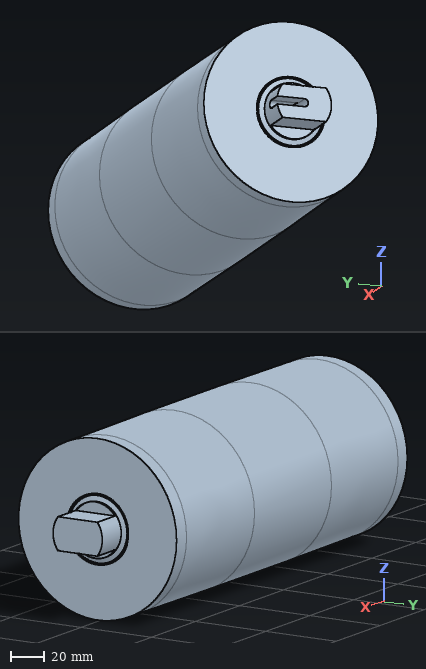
import cadquery as cq

total_length = 307.0
drum_length = 262.0
middle_length = drum_length / 3
cap_width = 11.0
cap_diameter = 112.5
tube_end_diameter = cap_diameter
crown_diameter = 113.5

collar_diameter = 42.0
collar_height = 1.0
gap_diameter = 44.0
gap_depth = 1.0

shaft_diameter = 35.0
flat_length = 20.0
flat_distance = 21.0

cable_diameter = 5.0
groove_axis_depth = 10.0
cable_hole_depth = 20.0

half_total = total_length / 2
half_drum = drum_length / 2


def cylinder_along_x(diameter, x_start, x_end):
    """Cylinder centred on the X axis."""
    return cq.Workplane("YZ", origin=(x_start, 0, 0)).circle(diameter / 2).extrude(x_end - x_start)


def make_tube():
    """Tube with a cylindrical middle and a taper towards each cap."""
    x_cap = half_drum - cap_width
    x_middle = middle_length / 2
    return (
        cq.Workplane("XY")
        .moveTo(-x_cap, 0)
        .lineTo(-x_cap, tube_end_diameter / 2)
        .lineTo(-x_middle, crown_diameter / 2)
        .lineTo(x_middle, crown_diameter / 2)
        .lineTo(x_cap, tube_end_diameter / 2)
        .lineTo(x_cap, 0)
        .close()
        .revolve(360, (0, 0, 0), (1, 0, 0))
    )


def make_caps():
    """Both end caps, one at each end of the tube."""
    left = cylinder_along_x(cap_diameter, -half_drum, cap_width - half_drum)
    return left.union(left.mirror("YZ"))


def make_ring_gaps():
    """Narrow ring-shaped recess around the collar in each cap face."""
    outer = cylinder_along_x(gap_diameter, -half_drum, gap_depth - half_drum)
    inner = cylinder_along_x(collar_diameter, -half_drum, gap_depth - half_drum)
    left = outer.cut(inner)
    return left.union(left.mirror("YZ"))


def make_collars():
    """Cone rising from each cap face and narrowing to the shaft."""
    x_tip = -half_drum - collar_height
    left = (
        cq.Workplane("XY")
        .moveTo(-half_drum, 0)
        .lineTo(-half_drum, collar_diameter / 2)
        .lineTo(x_tip, shaft_diameter / 2)
        .lineTo(x_tip, 0)
        .close()
        .revolve(360, (0, 0, 0), (1, 0, 0))
    )
    return left.union(left.mirror("YZ"))


def make_shaft():
    """Round shaft with parallel flats facing +Z and -Z at both ends."""
    shaft = cylinder_along_x(shaft_diameter, -half_total, half_total)
    flat_depth = (shaft_diameter - flat_distance) / 2
    flat_x = half_total - flat_length / 2
    flat_z = (flat_distance + flat_depth) / 2
    waste = cq.Workplane("XY").box(flat_length, shaft_diameter, flat_depth)
    for x_side in (-1, 1):
        for z_side in (-1, 1):
            shaft = shaft.cut(waste.translate((x_side * flat_x, 0, z_side * flat_z)))
    return shaft


def make_cable_passage():
    """Blind axial hole with a round-bottomed groove leading out to +Y."""
    hole = cylinder_along_x(cable_diameter, -half_total, cable_hole_depth - half_total)
    groove = (
        cq.Workplane("XZ", origin=(groove_axis_depth - half_total, 0, 0))
        .circle(cable_diameter / 2)
        .extrude(-shaft_diameter / 2)
    )
    opening = (
        cq.Workplane("XY")
        .box(groove_axis_depth, shaft_diameter / 2, cable_diameter, centered=(False, False, True))
        .translate((-half_total, 0, 0))
    )
    return hole.union(groove).union(opening)


drum = make_tube().union(make_caps()).cut(make_ring_gaps()).union(make_collars())
result = drum.union(make_shaft()).cut(make_cable_passage())